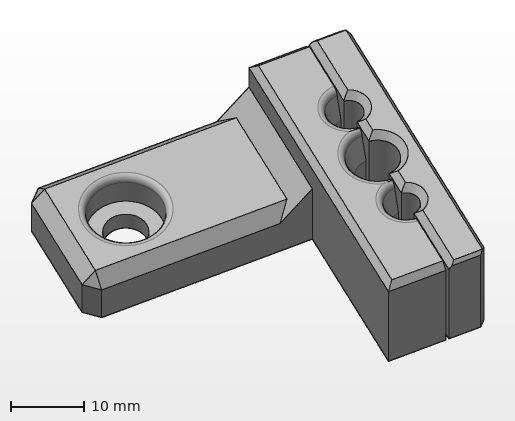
import cadquery as cq

WIDTH = 44.0
DEPTH = 49.0
HEIGHT = 16.0

PLATE_THICKNESS = 5.85
GAP = 0.45
BLOCK_THICKNESS = 8.7
BLOCK_CHAMFER = 1.0
PLATE_FRONT_CHAMFER = 1.0
PLATE_CORNER_CHAMFER = 1.0
PLATE_TOP_CHAMFER = PLATE_CORNER_CHAMFER / 2

plate_front = DEPTH - PLATE_THICKNESS
block_back = plate_front - GAP
block_front = block_back - BLOCK_THICKNESS
hole_row_y = plate_front - GAP / 2

FOOT_WIDTH = 20.0
FOOT_HEIGHT = 8.0
FOOT_CHAMFER = 2.0
RAMP_SIZE = 4.9
foot_shoulder = FOOT_HEIGHT - FOOT_CHAMFER

SCREW_Y = 10.5
SCREW_DIAMETER = 6.3
COUNTERBORE_DIAMETER = 11.0
COUNTERBORE_DEPTH = 5.0
COUNTERBORE_ROUND = 1.0

CLAMP_HOLES = [
    (13.0, 2.05, 3.3),
    (WIDTH / 2, 3.16, 4.45),
    (31.0, 1.95, 3.16),
]
TAPER_LENGTH = 4.0
MOUTH_ROUND = 1.0
MOUTH_CHAMFER = 1.05


def revolved_cutter(profile, x, y):
    """Turn a closed radius-height profile about a vertical axis at (x, y)."""
    return profile.close().revolve(360, (0, 0, 0), (0, 1, 0)).translate((x, y, 0))


def rounded_mouth(profile, radius, top, round_radius):
    """Continue a profile from its wall through a convex round to the top face and back to the axis."""
    outer = radius + round_radius
    diagonal = round_radius * 0.5 ** 0.5
    return (
        profile
        .threePointArc((outer - diagonal, top - round_radius + diagonal), (outer, top))
        .lineTo(0, top)
    )


def tapered_hole(x, bore_radius, taper_radius):
    """Straight clamping bore that flares through a taper to a rounded mouth."""
    taper_top = HEIGHT - MOUTH_ROUND
    wall = (
        cq.Workplane("XZ")
        .lineTo(bore_radius, 0)
        .lineTo(bore_radius, taper_top - TAPER_LENGTH)
        .lineTo(taper_radius, taper_top)
    )
    return revolved_cutter(rounded_mouth(wall, taper_radius, HEIGHT, MOUTH_ROUND), x, hole_row_y)


def chamfered_hole(x, bore_radius):
    """Straight clamping hole with a chamfered mouth."""
    profile = (
        cq.Workplane("XZ")
        .lineTo(bore_radius, 0)
        .lineTo(bore_radius, HEIGHT - MOUTH_CHAMFER)
        .lineTo(bore_radius + MOUTH_CHAMFER, HEIGHT)
        .lineTo(0, HEIGHT)
    )
    return revolved_cutter(profile, x, hole_row_y)


def screw_hole():
    """Counterbored screw hole with a rounded rim."""
    floor = FOOT_HEIGHT - COUNTERBORE_DEPTH
    bore_radius = COUNTERBORE_DIAMETER / 2
    wall = (
        cq.Workplane("XZ")
        .lineTo(SCREW_DIAMETER / 2, 0)
        .lineTo(SCREW_DIAMETER / 2, floor)
        .lineTo(bore_radius, floor)
        .lineTo(bore_radius, FOOT_HEIGHT - COUNTERBORE_ROUND)
    )
    profile = rounded_mouth(wall, bore_radius, FOOT_HEIGHT, COUNTERBORE_ROUND)
    return revolved_cutter(profile, FOOT_WIDTH / 2, SCREW_Y)


def make_foot():
    """Foot running into the block, chamfered at its top edges and front corners."""
    foot = cq.Workplane("XY").box(FOOT_WIDTH, block_back, FOOT_HEIGHT, centered=False)
    top_edges = foot.faces(">Z").edges("<X or >X or <Y")
    front_corners = foot.faces("<Y").edges("|Z")
    return foot.newObject(top_edges.vals() + front_corners.vals()).chamfer(FOOT_CHAMFER)


def make_ramp():
    """45 degree wedge from the foot shoulders up to the block face."""
    return (
        cq.Workplane("YZ")
        .moveTo(block_front - RAMP_SIZE, foot_shoulder)
        .lineTo(block_front, foot_shoulder)
        .lineTo(block_front, foot_shoulder + RAMP_SIZE)
        .close()
        .extrude(FOOT_WIDTH)
    )


def make_bracket():
    """Clamp block with its ramp and mounting foot."""
    bracket = (
        cq.Workplane("XY")
        .box(WIDTH, BLOCK_THICKNESS, HEIGHT, centered=False)
        .translate((0, block_front, 0))
        .faces(">Z").edges("<X or >X or <Y").chamfer(BLOCK_CHAMFER)
        .union(make_foot())
        .union(make_ramp())
        .cut(screw_hole())
    )
    for x, bore_radius, taper_radius in CLAMP_HOLES:
        bracket = bracket.cut(tapered_hole(x, bore_radius, taper_radius))
    return bracket


def make_clamp_plate():
    """Loose plate facing the back of the block."""
    plate = (
        cq.Workplane("XY")
        .box(WIDTH, PLATE_THICKNESS, HEIGHT, centered=False)
        .translate((0, plate_front, 0))
    )
    plate = plate.faces(">Y").edges("|Z").chamfer(PLATE_CORNER_CHAMFER)
    top_rim = (
        cq.Workplane("XY", origin=(WIDTH / 2, plate_front, HEIGHT - PLATE_TOP_CHAMFER))
        .rect(WIDTH, 2 * PLATE_THICKNESS)
        .workplane(offset=PLATE_TOP_CHAMFER)
        .rect(WIDTH - 2 * PLATE_TOP_CHAMFER, 2 * (PLATE_THICKNESS - PLATE_TOP_CHAMFER))
        .loft(ruled=True)
    )
    lower_part = cq.Workplane("XY").box(WIDTH, DEPTH, HEIGHT - PLATE_TOP_CHAMFER, centered=False)
    plate = plate.intersect(top_rim.union(lower_part))
    front_edge = (
        cq.Workplane("YZ")
        .moveTo(plate_front, HEIGHT - PLATE_FRONT_CHAMFER)
        .lineTo(plate_front, HEIGHT)
        .lineTo(plate_front + PLATE_FRONT_CHAMFER, HEIGHT)
        .close()
        .extrude(WIDTH)
    )
    plate = plate.cut(front_edge)
    for x, bore_radius, _ in CLAMP_HOLES:
        plate = plate.cut(chamfered_hole(x, bore_radius))
    return plate


bracket = make_bracket()
clamp_plate = make_clamp_plate()

result = cq.Compound.makeCompound([bracket.val(), clamp_plate.val()])